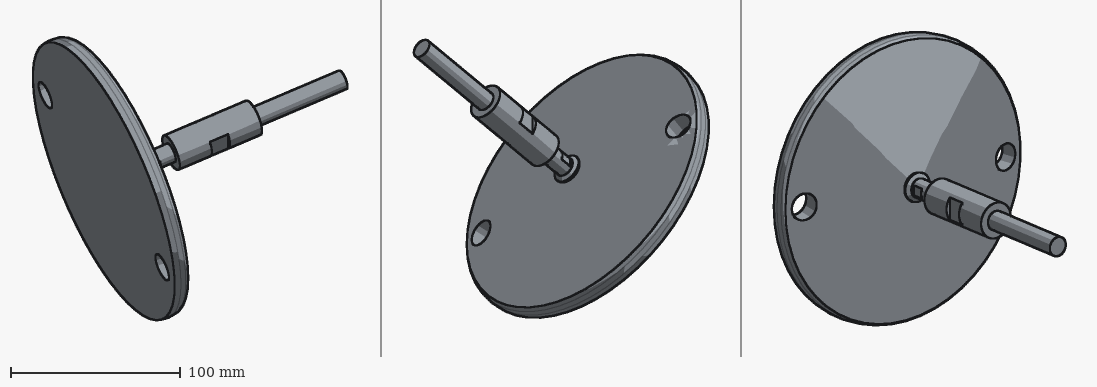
import cadquery as cq
import math


base_radius = 89.0
underside_radius = 88.5
rim_top_radius = 88.6
cone_edge_radius = 87.2
cone_top_radius = 8.7
rim_widest_y = 4.0
rim_top_y = 7.3
cone_edge_y = 9.8
cone_top_y = 22.6
mount_hole_diameter = 16.5
mount_hole_offset = 72.8
mount_hole_length = 35.6

collar_radius = 9.0
collar_widest_y = 24.0
collar_top_y = 25.6

spindle_diameter = 12.0
spindle_top_y = 160.0
spindle_bottom_y = 17.8
spindle_flat_width = 10.1
spindle_flat_bottom_y = 27.0
spindle_flat_top_y = 35.0

sleeve_diameter = 22.0
sleeve_bottom_y = 45.0
sleeve_top_y = 100.0
sleeve_flat_width = 17.0
sleeve_flat_length = 12.1
sleeve_middle_y = (sleeve_bottom_y + sleeve_top_y) / 2
sleeve_flat_bottom_y = sleeve_middle_y - sleeve_flat_length / 2
sleeve_flat_top_y = sleeve_middle_y + sleeve_flat_length / 2


def rod(diameter, bottom_y, top_y):
    """Cylinder on the common axis between two heights."""
    return (
        cq.Workplane("XZ", origin=(0, bottom_y, 0))
        .circle(diameter / 2)
        .extrude(bottom_y - top_y)
    )


def cut_flats(body, diameter, flat_width, bottom_y, top_y):
    """Cut a pair of wrench flats, facing -X and +X, into a round body."""
    for side in (-1, 1):
        block = cq.Workplane("XY").box(diameter, top_y - bottom_y, diameter)
        block_x = side * (flat_width + diameter) / 2
        body = body.cut(block.translate((block_x, (bottom_y + top_y) / 2, 0)))
    return body


def make_mount_hole(side):
    """Hole cutter square to the cone surface, so it leans outward with height."""
    slope = math.atan2(cone_top_y - cone_edge_y, cone_edge_radius - cone_top_radius)
    direction = cq.Vector(side * math.sin(slope), math.cos(slope), 0)
    middle = cq.Vector(side * mount_hole_offset, 0, 0)
    start = middle - direction * (mount_hole_length / 2)
    return cq.Solid.makeCylinder(mount_hole_diameter / 2, mount_hole_length, start, direction)


def make_base():
    """Conical foot plate with a rounded rim, a neck collar and a spindle seat."""
    base = (
        cq.Workplane("XY")
        .lineTo(underside_radius, 0)
        .lineTo(base_radius, rim_widest_y)
        .lineTo(rim_top_radius, rim_top_y)
        .tangentArcPoint((cone_edge_radius, cone_edge_y), relative=False)
        .lineTo(cone_top_radius, cone_top_y)
        .lineTo(collar_radius, collar_widest_y)
        .lineTo(spindle_diameter / 2, collar_top_y)
        .lineTo(0, collar_top_y)
        .close()
        .revolve(360, (0, 0, 0), (0, 1, 0))
    )
    for side in (-1, 1):
        base = base.cut(cq.Workplane(make_mount_hole(side)))
    return base.cut(rod(spindle_diameter, spindle_bottom_y, spindle_top_y))


def make_spindle():
    """Round spindle with wrench flats just above the base."""
    spindle = rod(spindle_diameter, spindle_bottom_y, spindle_top_y)
    return cut_flats(
        spindle, spindle_diameter, spindle_flat_width, spindle_flat_bottom_y, spindle_flat_top_y
    )


def make_sleeve():
    """Sleeve around the spindle with wrench flats at mid length."""
    sleeve = rod(sleeve_diameter, sleeve_bottom_y, sleeve_top_y)
    sleeve = cut_flats(
        sleeve, sleeve_diameter, sleeve_flat_width, sleeve_flat_bottom_y, sleeve_flat_top_y
    )
    return sleeve.cut(rod(spindle_diameter, sleeve_bottom_y, sleeve_top_y))


base = make_base()
spindle = make_spindle()
sleeve = make_sleeve()

result = cq.Compound.makeCompound([base.val(), spindle.val(), sleeve.val()])